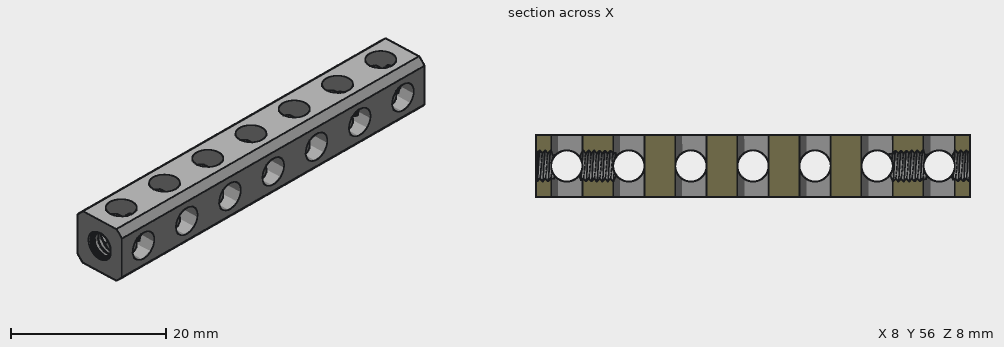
import cadquery as cq
import math

side = 8.0
corner_diameter = 10.0

hole_diameter = 4.0
hole_pitch = 8.0
hole_count = 7
length = hole_pitch * hole_count

thread_major_radius = 4.0 / 2
thread_minor_radius = 3.242 / 2
thread_pitch = 0.7
threaded_walls = 2
thread_start_angle = 0.0
flank_spans = 8
entry_chamfer_radius = thread_major_radius + 0.02
entry_cone_depth = 0.6
entry_chamfer_taper = 45

tool_margin = 0.1
open_half_width = hole_diameter / 2 * math.sin(math.pi / 4) - tool_margin


def bar(start, end):
    """Length of plain bar between two Y positions."""
    bar_length = end - start
    square = cq.Workplane("XZ").rect(side, side).extrude(-bar_length)
    cylinder = cq.Workplane("XZ").circle(corner_diameter / 2).extrude(-bar_length)
    return square.intersect(cylinder).translate((0, start, 0))


def hole_row(plane, centres):
    return cq.Workplane(plane).pushPoints(centres).circle(hole_diameter / 2).extrude(side / 2, both=True)


def cut_cross_holes(body):
    positions = [(index - (hole_count - 1) / 2) * hole_pitch for index in range(hole_count)]
    along_z = hole_row("XY", [(0, y) for y in positions])
    along_x = hole_row("YZ", [(y, 0) for y in positions])
    return body.cut(along_z).cut(along_x)


def polar(radius, angle):
    return radius * math.cos(angle), radius * math.sin(angle)


def thread_section():
    """Cross-section of the sharp V thread: two mirrored spirals, one for each flank."""
    flank = []
    for step in range(flank_spans + 1):
        share = step / flank_spans
        radius = thread_major_radius + (thread_minor_radius - thread_major_radius) * share
        flank.append(polar(radius, math.pi * share))
    mirrored_flank = [(x, -y) for x, y in reversed(flank)]
    return (
        cq.Workplane("XY")
        .moveTo(*flank[0])
        .spline(flank[1:], includeCurrent=True)
        .spline(mirrored_flank[1:], includeCurrent=True)
        .close()
    )


def into_end_face(tool):
    """Turn a tool built upward from the XY plane so that it enters the -Y end face."""
    return tool.rotate((0, 0, 0), (1, 0, 0), -90).translate((0, -length / 2, 0))


def thread_tool(start, end):
    """Right-handed thread between two depths below the end face, one turn per pitch."""
    depth = end - start
    angle = thread_start_angle + 360 * start / thread_pitch
    core = thread_section().twistExtrude(depth, 360 * depth / thread_pitch)
    return into_end_face(core.rotate((0, 0, 0), (0, 0, 1), angle).translate((0, 0, start)))


def cut_threaded_hole(body):
    """Thread the walls before and between the first cross holes, then chamfer the entry."""
    for wall in range(threaded_walls):
        hole_after = (wall + 0.5) * hole_pitch
        start = max(0, hole_after - hole_pitch + open_half_width)
        end = hole_after - open_half_width
        body = body.cut(thread_tool(start, end))
    chamfer = cq.Workplane("XY").circle(entry_chamfer_radius)
    chamfer = chamfer.extrude(entry_cone_depth, taper=entry_chamfer_taper)
    return body.cut(into_end_face(chamfer))


block_length = threaded_walls * hole_pitch
middle_half_length = length / 2 - block_length
middle = cut_cross_holes(bar(-middle_half_length, middle_half_length))
end_block = cut_threaded_hole(cut_cross_holes(bar(-length / 2, -middle_half_length)))
opposite_end_block = end_block.rotate((0, 0, 0), (0, 0, 1), 180)
result = middle.union(end_block).union(opposite_end_block)